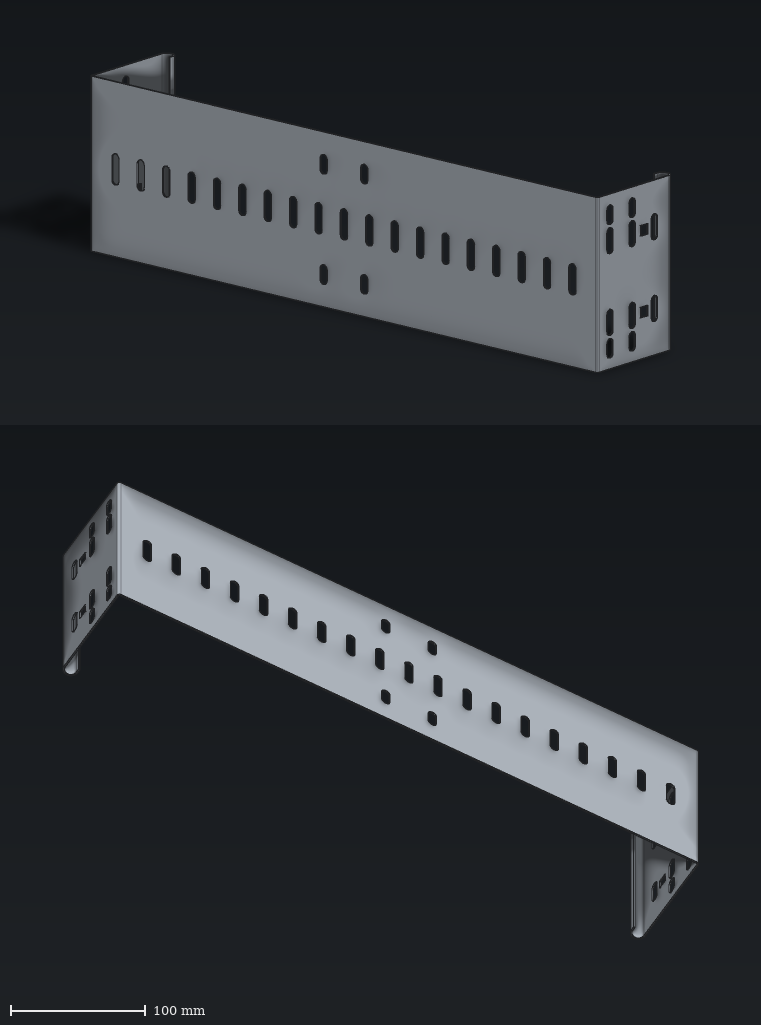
import cadquery as cq

length = 500.0
depth = 85.5
height = 135.0

sheet = 1.25
bend_inner_radius = 1.0
bend_outer_radius = bend_inner_radius + sheet
hook_outer_radius = 6.0
hook_inner_radius = hook_outer_radius - sheet
hook_lip = 3.0

slot_width = 7.0
row_count = 19
row_pitch = 25.0
row_slot_length = 24.0
web_short_slot_length = 15.0
web_short_slot_x = 20.0
web_short_slot_z = 42.5

flange_column_count = 3
flange_column_pitch = 25.0
flange_first_column_y = 14.0
flange_long_slot_length = 20.0
flange_long_slot_z = 31.5
flange_short_slot_length = 15.0
flange_short_slot_z = 51.5
square_hole_side = 8.0
square_hole_y = 52.5

half_length = length / 2
hook_base_y = depth - hook_outer_radius


def make_web():
    """Flat sheet between the two corner bends."""
    return cq.Workplane("XY").box(
        length - 2 * bend_outer_radius, sheet, height, centered=(True, False, True)
    )


def make_left_flange():
    """Corner bend, flat flange and inward-curled hook at the -X end."""
    outer_x = -half_length
    inner_x = outer_x + sheet
    bend_x = outer_x + bend_outer_radius
    hook_x = outer_x + hook_outer_radius
    lip_outer_x = hook_x + hook_outer_radius
    lip_inner_x = hook_x + hook_inner_radius
    lip_y = hook_base_y - hook_lip
    return (
        cq.Workplane("XY")
        .workplane(offset=-height / 2)
        .moveTo(bend_x, 0)
        .radiusArc((outer_x, bend_outer_radius), bend_outer_radius)
        .lineTo(outer_x, hook_base_y)
        .threePointArc((hook_x, depth), (lip_outer_x, hook_base_y))
        .lineTo(lip_outer_x, lip_y)
        .lineTo(lip_inner_x, lip_y)
        .lineTo(lip_inner_x, hook_base_y)
        .threePointArc((hook_x, depth - sheet), (inner_x, hook_base_y))
        .lineTo(inner_x, bend_outer_radius)
        .radiusArc((bend_x, sheet), -bend_inner_radius)
        .close()
        .extrude(height)
    )


def web_slots(points, slot_length):
    """Upright slot cutters through the web, at (x, z) points."""
    return (
        cq.Workplane("XZ")
        .pushPoints(points)
        .slot2D(slot_length, slot_width, 90)
        .extrude(-sheet)
    )


def flange_slots(points, slot_length):
    """Upright slot cutters through both flanges, at (y, z) points."""
    return (
        cq.Workplane("YZ")
        .pushPoints(points)
        .slot2D(slot_length, slot_width, 90)
        .extrude(half_length, both=True)
    )


def cut_web_openings(body):
    """Central row of slots and four short slots around the middle."""
    row_start = -row_pitch * (row_count - 1) / 2
    row = [(row_start + i * row_pitch, 0) for i in range(row_count)]
    short = [(x, z) for x in (-web_short_slot_x, web_short_slot_x)
             for z in (-web_short_slot_z, web_short_slot_z)]
    body = body.cut(web_slots(row, row_slot_length))
    return body.cut(web_slots(short, web_short_slot_length))


def cut_flange_openings(body):
    """Columns of slots and two square holes in each flange; the column by the hook has no short slots."""
    columns = [flange_first_column_y + i * flange_column_pitch for i in range(flange_column_count)]
    long_slots = [(y, z) for y in columns for z in (-flange_long_slot_z, flange_long_slot_z)]
    short_slots = [(y, z) for y in columns[:-1]
                   for z in (-flange_short_slot_z, flange_short_slot_z)]
    squares = (
        cq.Workplane("YZ")
        .pushPoints([(square_hole_y, z) for z in (-flange_long_slot_z, flange_long_slot_z)])
        .rect(square_hole_side, square_hole_side)
        .extrude(half_length, both=True)
    )
    body = body.cut(flange_slots(long_slots, flange_long_slot_length))
    body = body.cut(flange_slots(short_slots, flange_short_slot_length))
    return body.cut(squares)


left_flange = make_left_flange()
right_flange = left_flange.mirror("YZ")
body = make_web().union(left_flange).union(right_flange)
body = cut_web_openings(body)
result = cut_flange_openings(body)